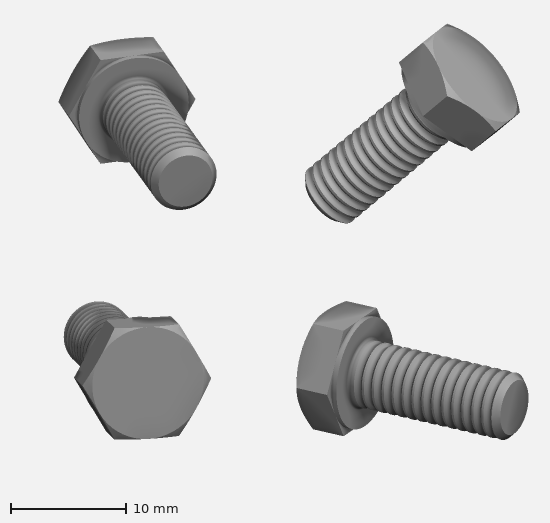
import cadquery as cq
import math

total_length = 19.0
across_flats = 10.0
head_height = 4.0
washer_height = 0.5
head_chamfer_angle = 30.0

thread_radius = 3.0
root_radius = 2.45
crest_width = 0.2
fillet_radius = 0.25
thread_count = 15

hex_height = head_height - washer_height
flat_radius = across_flats / 2
corner_radius = flat_radius / math.cos(math.pi / 6)
corner_chamfer_length = (corner_radius - flat_radius) * math.tan(math.radians(head_chamfer_angle))

pitch = (total_length - head_height) / thread_count
half_groove = (pitch - crest_width) / 2
thread_depth = thread_radius - root_radius


def revolve_about_x(profile):
    """Close a half profile drawn in XY and spin it about the X axis."""
    return profile.close().revolve(360, (0, 0, 0), (1, 0, 0))


def make_head():
    """Hexagon with corners on +Y and -Y, its outer corners cut by a shallow cone."""
    hexagon = cq.Workplane("YZ").polygon(6, 2 * corner_radius).extrude(hex_height)
    chamfer_envelope = revolve_about_x(
        cq.Workplane("XY")
        .moveTo(0, 0)
        .lineTo(0, flat_radius)
        .lineTo(corner_chamfer_length, corner_radius)
        .lineTo(hex_height, corner_radius)
        .lineTo(hex_height, 0)
    )
    return hexagon.intersect(chamfer_envelope)


def make_shank():
    """Washer face, filleted neck and ring-shaped thread turned from one profile."""
    profile = (
        cq.Workplane("XY")
        .moveTo(hex_height, 0)
        .lineTo(hex_height, flat_radius)
        .lineTo(head_height, flat_radius)
        .lineTo(head_height, thread_radius + fillet_radius)
        .radiusArc((head_height + fillet_radius, thread_radius), -fillet_radius)
    )
    for groove in range(1, thread_count):
        root_x = head_height + groove * pitch
        profile = (
            profile.lineTo(root_x - half_groove, thread_radius)
            .lineTo(root_x, root_radius)
            .lineTo(root_x + half_groove, thread_radius)
        )
    profile = (
        profile.lineTo(total_length - thread_depth, thread_radius)
        .lineTo(total_length, root_radius)
        .lineTo(total_length, 0)
    )
    return revolve_about_x(profile)


result = make_head().union(make_shank())